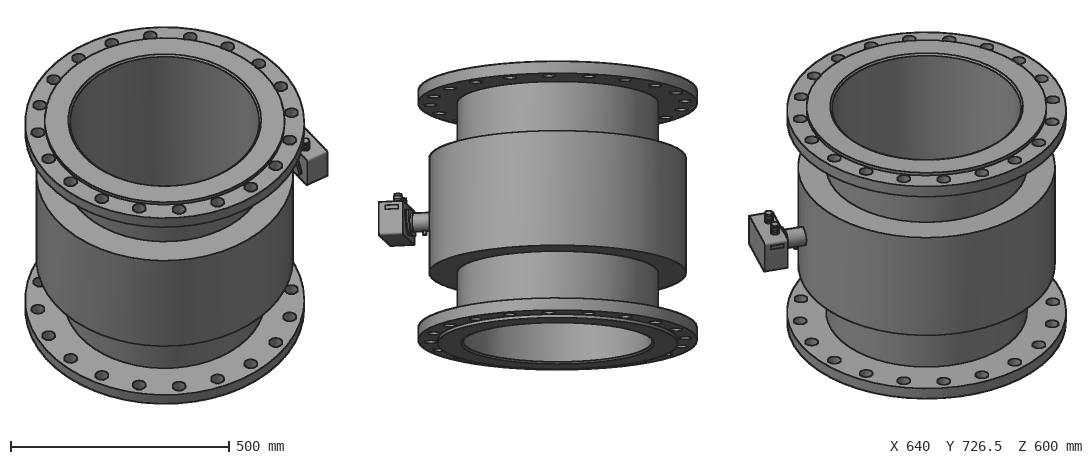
import cadquery as cq
import math

TUBE_LENGTH = 600.0
PIPE_DIAMETER = 461.0
BORE_DIAMETER = 434.0
BORE_CHAMFER = 4.0

FLANGE_DIAMETER = 640.0
FLANGE_THICKNESS = 28.0
RAISED_FACE_DIAMETER = 550.0
RAISED_FACE_HEIGHT = 8.0
BOLT_COUNT = 20
BOLT_CIRCLE_DIAMETER = 585.0
BOLT_HOLE_DIAMETER = 30.0

DRUM_DIAMETER = 589.0
DRUM_LENGTH = 269.0

OVERALL_DEPTH = 726.5
BOX_WIDTH = 125.0
BOX_DEPTH = 56.0
BOX_HEIGHT = 79.0
BOX_CORNER_RADIUS = 5.0
BOX_BACK = OVERALL_DEPTH - FLANGE_DIAMETER / 2
BOX_FRONT = BOX_BACK - BOX_DEPTH

RECESS_LENGTH = 30.5
RECESS_HEIGHT = 9.5
RECESS_DEPTH = 1.0
RECESS_FROM_BACK = 30.5
RECESS_CENTRE_Z = 25.5

GLAND_SPACING = 49.0
GLAND_FROM_BACK = 36.0
GLAND_COLLAR_DIAMETER = 19.5
GLAND_WAIST_DIAMETER = 17.5
GLAND_STEPS = [
    (GLAND_COLLAR_DIAMETER, 5.0),
    (GLAND_WAIST_DIAMETER, 6.0),
    (GLAND_COLLAR_DIAMETER, 7.0),
    (GLAND_WAIST_DIAMETER, 5.0),
]

PAD_THICKNESS = 3.0
PLATE_THICKNESS = 5.0
PLATE_DIAMETER = 59.0
LUG_DIAMETER = 19.5
LUG_OFFSET = 33.5
PLATE_TILT = 27.0
PLATE_BACK = BOX_FRONT - PAD_THICKNESS
PLATE_FRONT = PLATE_BACK - PLATE_THICKNESS

NECK_DIAMETER = 43.5
COLLAR_LENGTH = 5.0
STUB_END = PLATE_FRONT - COLLAR_LENGTH

SCREW_DIAMETER = 9.0
SCREW_FROM_STUB_END = 25.0
SCREW_REACH = 30.0


def disc(diameter, bottom, height):
    """Solid cylinder along Z that starts at the given height."""
    return cq.Workplane("XY").workplane(offset=bottom).circle(diameter / 2).extrude(height)


def cylinder_along_y(diameter, start, end):
    """Solid cylinder on the Y axis between two Y positions."""
    return cq.Workplane("XZ", origin=(0, start, 0)).circle(diameter / 2).extrude(start - end)


def make_flange():
    """Top flange with its raised face and bolt holes."""
    seal_face = TUBE_LENGTH / 2
    flange_top = seal_face - RAISED_FACE_HEIGHT
    flange_bottom = flange_top - FLANGE_THICKNESS
    flange = disc(FLANGE_DIAMETER, flange_bottom, FLANGE_THICKNESS)
    flange = flange.union(disc(RAISED_FACE_DIAMETER, flange_top, RAISED_FACE_HEIGHT))
    half_pitch = 180 / BOLT_COUNT
    bolt_holes = (
        cq.Workplane("XY")
        .workplane(offset=flange_bottom)
        .polarArray(BOLT_CIRCLE_DIAMETER / 2, half_pitch, 360, BOLT_COUNT)
        .circle(BOLT_HOLE_DIAMETER / 2)
        .extrude(FLANGE_THICKNESS)
    )
    return flange.cut(bolt_holes)


def make_neck_stub():
    """Lower part of the neck, rooted inside the drum, with its screw."""
    stub = cylinder_along_y(NECK_DIAMETER, STUB_END, PIPE_DIAMETER / 2)
    screw = disc(SCREW_DIAMETER, -SCREW_REACH, SCREW_REACH)
    return stub.union(screw.translate((0, STUB_END - SCREW_FROM_STUB_END, 0)))


def make_measuring_tube():
    """Pipe, drum, both flanges and neck stub in one piece, with a bore chamfered at both ends."""
    flange = make_flange()
    tube = disc(PIPE_DIAMETER, -TUBE_LENGTH / 2, TUBE_LENGTH)
    tube = tube.union(disc(DRUM_DIAMETER, -DRUM_LENGTH / 2, DRUM_LENGTH))
    tube = tube.union(flange).union(flange.mirror("XY"))
    tube = tube.union(make_neck_stub())
    tube = tube.cut(disc(BORE_DIAMETER, -TUBE_LENGTH / 2, TUBE_LENGTH))
    bore_rims = cq.selectors.RadiusNthSelector(0)
    return tube.faces("<Z or >Z").edges(bore_rims).chamfer(BORE_CHAMFER)


def make_oval_plate(back, thickness):
    """Tilted oval plate, from its back face toward -Y: a round centre with tangent flats to two lugs."""
    plate_radius = PLATE_DIAMETER / 2
    lug_radius = LUG_DIAMETER / 2
    lean = math.acos((plate_radius - lug_radius) / LUG_OFFSET)
    plate_x = plate_radius * math.cos(lean)
    plate_z = plate_radius * math.sin(lean)
    lug_x = LUG_OFFSET + lug_radius * math.cos(lean)
    lug_z = lug_radius * math.sin(lean)
    lug_tip = LUG_OFFSET + lug_radius
    plate = (
        cq.Workplane("XZ", origin=(0, back, 0))
        .moveTo(-plate_x, plate_z)
        .threePointArc((0, plate_radius), (plate_x, plate_z))
        .lineTo(lug_x, lug_z)
        .threePointArc((lug_tip, 0), (lug_x, -lug_z))
        .lineTo(plate_x, -plate_z)
        .threePointArc((0, -plate_radius), (-plate_x, -plate_z))
        .lineTo(-lug_x, -lug_z)
        .threePointArc((-lug_tip, 0), (-lug_x, lug_z))
        .close()
        .extrude(thickness)
    )
    return plate.rotate((0, 0, 0), (0, 1, 0), PLATE_TILT)


def make_connector():
    """Clamping plate with the short collar that meets the neck stub."""
    collar = cylinder_along_y(NECK_DIAMETER, PLATE_FRONT, STUB_END)
    return make_oval_plate(PLATE_BACK, PLATE_THICKNESS).union(collar)


def make_gland(x):
    """Stepped cable gland standing on the box at the given X position."""
    gland = cq.Workplane("XY")
    bottom = BOX_HEIGHT / 2
    for diameter, height in GLAND_STEPS:
        gland = gland.union(disc(diameter, bottom, height))
        bottom += height
    return gland.translate((x, BOX_BACK - GLAND_FROM_BACK, 0))


def make_terminal_box():
    """Box with rounded long edges, a shallow end recess, a mounting pad and two cable glands."""
    box = (
        cq.Workplane("XY", origin=(0, BOX_BACK - BOX_DEPTH / 2, 0))
        .box(BOX_WIDTH, BOX_DEPTH, BOX_HEIGHT)
        .edges("|Y")
        .fillet(BOX_CORNER_RADIUS)
    )
    recess = cq.Workplane("XY").box(2 * RECESS_DEPTH, RECESS_LENGTH, RECESS_HEIGHT)
    box = box.cut(recess.translate((-BOX_WIDTH / 2, BOX_BACK - RECESS_FROM_BACK, RECESS_CENTRE_Z)))
    box = box.union(make_oval_plate(BOX_FRONT, PAD_THICKNESS))
    for side in (-1, 1):
        box = box.union(make_gland(side * GLAND_SPACING / 2))
    return box


measuring_tube = make_measuring_tube()
connector = make_connector()
terminal_box = make_terminal_box()

bodies = [measuring_tube, connector, terminal_box]
result = cq.Compound.makeCompound([body.solids().val() for body in bodies])